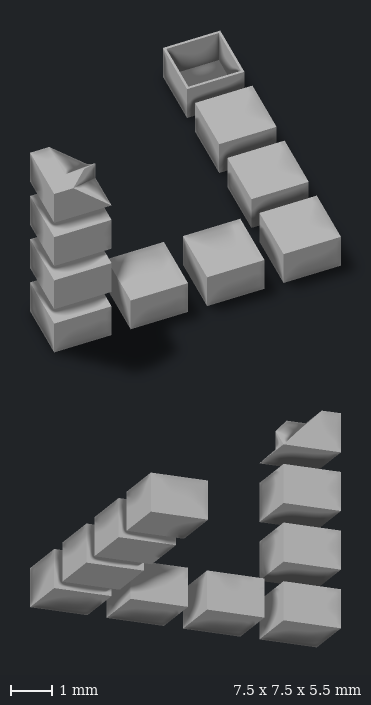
import cadquery as cq

total_length = 7.5
block_side = 1.5
blocks_per_row = 4
tray_wall = 0.064
tray_floor = 0.064

gap = block_side / 3
block_height = block_side - gap
row_pitch = block_side + gap
tower_pitch = block_height + gap
far_edge = total_length - block_side


def make_block(x, y, z):
    """Plain block with its minimum corner at the given point."""
    block = cq.Workplane("XY").box(block_side, block_side, block_height, centered=False)
    return block.translate((x, y, z))


def make_tray(x, y, z):
    """Block hollowed from above into a thin-walled open box."""
    cavity_side = block_side - 2 * tray_wall
    cavity = (
        cq.Workplane("XY")
        .box(cavity_side, cavity_side, block_height - tray_floor, centered=False)
        .translate((tray_wall, tray_wall, tray_floor))
    )
    return make_block(0, 0, 0).cut(cavity).translate((x, y, z))


def make_wedge():
    """Base of the cap, sloping at 45 degrees down to its +Y bottom edge."""
    profile = [(0, 0), (block_side, 0), (gap, block_height), (0, block_height)]
    return cq.Workplane("YZ").polyline(profile).close().extrude(block_side)


def make_rib():
    """Diagonal rib of the cap: 45 degree slope on -X, upright wall across the +X +Y corner."""
    plan = [(0, 0), (block_side, 0), (block_side, gap), (gap, block_side), (0, block_side)]
    upright = cq.Workplane("XY").polyline(plan).close().extrude(block_height)
    slope = [(0, 0), (block_side, 0), (block_side, block_height), (block_height, block_height)]
    sloped = cq.Workplane("XZ").polyline(slope).close().extrude(-block_side)
    return upright.intersect(sloped)


def make_cap(x, y, z):
    """Sloped top piece of the tower."""
    return make_wedge().union(make_rib()).clean().translate((x, y, z))


tray = make_tray(0, far_edge, 0)
x_row = [make_block(i * row_pitch, far_edge, 0) for i in range(1, blocks_per_row)]

y_row = [make_block(far_edge, i * row_pitch, 0) for i in range(1, blocks_per_row - 1)]

tower_levels = blocks_per_row - 1
tower = [make_block(far_edge, 0, i * tower_pitch) for i in range(tower_levels)]
cap = make_cap(far_edge, 0, tower_levels * tower_pitch)

blocks = x_row + y_row + tower
result = cq.Compound.makeCompound([tray.val(), cap.solids().val(), *[block.val() for block in blocks]])